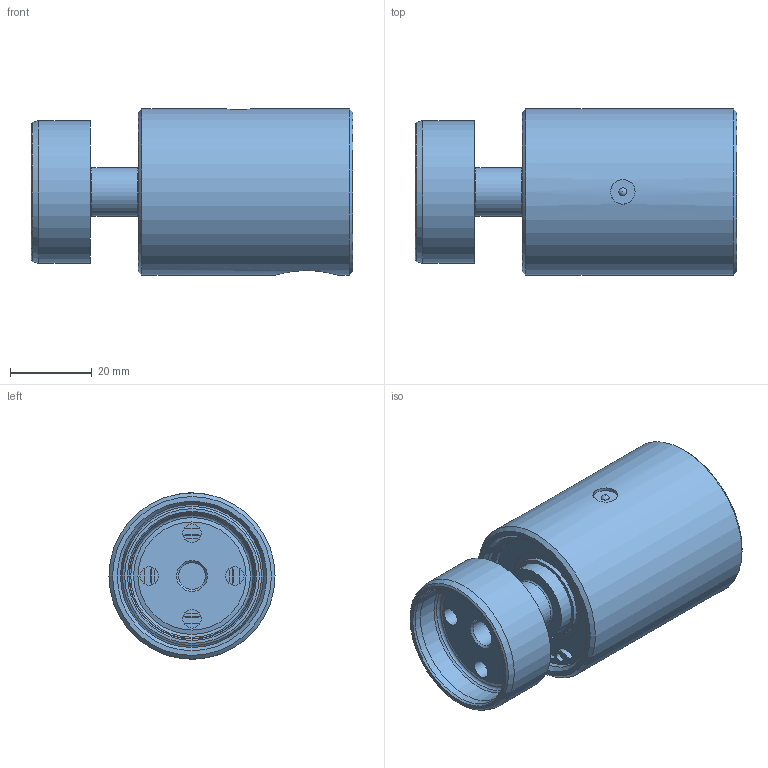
import math

import cadquery as cq

TOTAL_LENGTH = 78.84
BODY_RADIUS = 40.71 / 2

CAP_RADIUS = 35.0 / 2
CAP_LENGTH = 14.5
CAP_TAPER_LENGTH = 1.9
CAP_NOSE_RADIUS = 17.05
CAP_RIM_BEVEL = 0.3
CAP_RIM_RADIUS = 16.5
CAP_MOUTH_RADIUS = 15.8
CAP_MOUTH_DEPTH = 0.5
CAP_LEAD_RADIUS = 15.45
CAP_LEAD_DEPTH = 2.2
CAP_BORE_RADIUS = 30.7 / 2
CAP_BORE_DEPTH = 6.9
CAP_SEAT_RADIUS = 30.01 / 2
CAP_FLOOR_DEPTH = 7.85
CAP_FLOOR_RADIUS = 13.25
CAP_GROOVE_DEPTH = 8.15
CAP_GROOVE_FILLET = 0.7
CAP_GROOVE_INNER_RADIUS = CAP_SEAT_RADIUS - CAP_GROOVE_FILLET

CENTRE_HOLE_RADIUS = 6.55 / 2
CENTRE_HOLE_MOUTH_RADIUS = 3.8
CENTRE_HOLE_DEPTH = 14.0
BOLT_HOLE_RADIUS = 4.5 / 2
BOLT_CIRCLE_RADIUS = 10.5
BOLT_HOLE_COUNT = 4

SHAFT_RADIUS = 12.0 / 2
SHAFT_FILLET = 0.4
HUB_RADIUS = 18.4 / 2
HUB_START = 26.5
COLLAR_RADIUS = 10.2
COLLAR_TOP_RADIUS = 10.0
COLLAR_START = 30.0
FLOOR_STEP_RADIUS = 23.38 / 2
FLOOR_STEP = 0.2

BODY_START = 26.25
BODY_CHAMFER = 0.9
BODY_MOUTH_RADIUS = 18.3
BODY_MOUTH_DEPTH = 1.0
BODY_BORE_RADIUS = 35.05 / 2
BODY_FLOOR = 30.6

RING_START = 28.6
RING_THICKNESS = 1.2
RING_INNER_RADIUS = 16.2
LUG_RADIUS = 5.75 / 2
LUG_PITCH_RADIUS = 16.6
LUG_ANGLE = -27.0
LUG_HOLE_RADIUS = 2.31 / 2
LUG_HOLE_PITCH_RADIUS = 15.5
LUG_HOLE_ANGLE = -25.0

PLUG_X = 50.9
PLUG_RADIUS = 6.0 / 2
PLUG_DEPTH = 0.9
DOME_RADIUS = 1.0
DOME_HEIGHT = 0.6

PORT_X = 67.5
PORT_RADIUS = 10.72 / 2
PORT_MOUTH_RADIUS = 7.6
PORT_DEPTH = 12.0


def revolve_x(profile):
    """Turn a closed (x, radius) outline about the X axis."""
    return profile.close().revolve(360, (0, 0, 0), (1, 0, 0))


def disc(start, length, radius, y=0.0, z=0.0):
    """Cylinder along X."""
    return cq.Workplane("YZ", origin=(start, y, z)).circle(radius).extrude(length)


def countersink(mouth_radius, hole_radius, start, direction):
    """Cone at 45 degrees that narrows from the mouth to the hole."""
    depth = mouth_radius - hole_radius
    cone = cq.Solid.makeCone(mouth_radius, hole_radius, depth, cq.Vector(*start), cq.Vector(*direction))
    return cq.Workplane(cone)


def make_cap():
    """Cap with a stepped bore, a rounded groove around its floor and a tapered nose."""
    outline = (
        cq.Workplane("XY")
        .moveTo(CAP_FLOOR_DEPTH, 0)
        .lineTo(CAP_FLOOR_DEPTH, CAP_FLOOR_RADIUS)
        .lineTo(CAP_GROOVE_DEPTH, CAP_GROOVE_INNER_RADIUS)
        .radiusArc((CAP_GROOVE_DEPTH - CAP_GROOVE_FILLET, CAP_SEAT_RADIUS), -CAP_GROOVE_FILLET)
        .lineTo(CAP_BORE_DEPTH, CAP_BORE_RADIUS)
        .lineTo(CAP_LEAD_DEPTH, CAP_BORE_RADIUS)
        .lineTo(CAP_MOUTH_DEPTH, CAP_LEAD_RADIUS)
        .lineTo(0, CAP_MOUTH_RADIUS)
        .lineTo(0, CAP_RIM_RADIUS)
        .lineTo(CAP_RIM_BEVEL, CAP_NOSE_RADIUS)
        .lineTo(CAP_TAPER_LENGTH, CAP_RADIUS)
        .lineTo(CAP_LENGTH, CAP_RADIUS)
        .lineTo(CAP_LENGTH, 0)
    )
    return revolve_x(outline)


def make_shaft():
    """Shaft with filleted ends, the hub behind it and the collar on the body floor."""
    outline = (
        cq.Workplane("XY")
        .moveTo(CAP_LENGTH, 0)
        .lineTo(CAP_LENGTH, SHAFT_RADIUS + SHAFT_FILLET)
        .radiusArc((CAP_LENGTH + SHAFT_FILLET, SHAFT_RADIUS), -SHAFT_FILLET)
        .lineTo(HUB_START - SHAFT_FILLET, SHAFT_RADIUS)
        .radiusArc((HUB_START, SHAFT_RADIUS + SHAFT_FILLET), -SHAFT_FILLET)
        .lineTo(HUB_START, HUB_RADIUS)
        .lineTo(COLLAR_START, HUB_RADIUS)
        .lineTo(COLLAR_START, COLLAR_TOP_RADIUS)
        .lineTo(BODY_FLOOR + FLOOR_STEP, COLLAR_RADIUS)
        .lineTo(BODY_FLOOR + FLOOR_STEP, 0)
    )
    return revolve_x(outline)


def make_body():
    """Chamfered barrel with an open front bore; the bore floor has a shallow step."""
    outline = (
        cq.Workplane("XY")
        .moveTo(BODY_FLOOR + FLOOR_STEP, 0)
        .lineTo(BODY_FLOOR + FLOOR_STEP, FLOOR_STEP_RADIUS)
        .lineTo(BODY_FLOOR, FLOOR_STEP_RADIUS)
        .lineTo(BODY_FLOOR, BODY_BORE_RADIUS)
        .lineTo(BODY_START + BODY_MOUTH_DEPTH, BODY_BORE_RADIUS)
        .lineTo(BODY_START, BODY_MOUTH_RADIUS)
        .lineTo(BODY_START, BODY_RADIUS - BODY_CHAMFER)
        .lineTo(BODY_START + BODY_CHAMFER, BODY_RADIUS)
        .lineTo(TOTAL_LENGTH - BODY_CHAMFER, BODY_RADIUS)
        .lineTo(TOTAL_LENGTH, BODY_RADIUS - BODY_CHAMFER)
        .lineTo(TOTAL_LENGTH, 0)
    )
    return revolve_x(outline)


def ring_disc(radius, pitch_radius=0.0, angle=0.0):
    """Disc as thick as the retaining ring, its angle counted from the -Z direction."""
    y = pitch_radius * math.sin(math.radians(angle))
    z = -pitch_radius * math.cos(math.radians(angle))
    return disc(RING_START, RING_THICKNESS, radius, y, z)


def make_ring():
    """Retaining ring with one drilled eyelet."""
    band = ring_disc(BODY_BORE_RADIUS).cut(ring_disc(RING_INNER_RADIUS))
    eyelet = ring_disc(LUG_RADIUS, LUG_PITCH_RADIUS, LUG_ANGLE)
    hole = ring_disc(LUG_HOLE_RADIUS, LUG_HOLE_PITCH_RADIUS, LUG_HOLE_ANGLE)
    return band.union(eyelet).cut(hole)


def cut_cap_holes(part):
    """Blind countersunk centre hole and the bolt holes through the cap floor."""
    part = part.cut(disc(CAP_FLOOR_DEPTH, CENTRE_HOLE_DEPTH, CENTRE_HOLE_RADIUS))
    mouth = countersink(
        CENTRE_HOLE_MOUTH_RADIUS, CENTRE_HOLE_RADIUS, (CAP_FLOOR_DEPTH, 0, 0), (1, 0, 0)
    )
    part = part.cut(mouth)
    through_length = CAP_LENGTH - CAP_FLOOR_DEPTH
    for index in range(BOLT_HOLE_COUNT):
        angle = 2 * math.pi * index / BOLT_HOLE_COUNT
        y = BOLT_CIRCLE_RADIUS * math.cos(angle)
        z = BOLT_CIRCLE_RADIUS * math.sin(angle)
        part = part.cut(disc(CAP_FLOOR_DEPTH, through_length, BOLT_HOLE_RADIUS, y, z))
    return part


def cut_plug_pocket(part):
    """Flat round pocket on top of the body with a low dome at its centre."""
    floor = BODY_RADIUS - PLUG_DEPTH
    pocket = cq.Workplane("XY", origin=(PLUG_X, 0, floor)).circle(PLUG_RADIUS).extrude(PLUG_DEPTH)
    sphere_radius = (DOME_RADIUS**2 + DOME_HEIGHT**2) / (2 * DOME_HEIGHT)
    sphere_centre_z = floor + DOME_HEIGHT - sphere_radius
    dome = cq.Workplane("XY", origin=(PLUG_X, 0, sphere_centre_z)).sphere(sphere_radius)
    return part.cut(pocket).union(dome)


def cut_port(part):
    """Blind port from below with a countersunk mouth."""
    mouth = countersink(PORT_MOUTH_RADIUS, PORT_RADIUS, (PORT_X, 0, -BODY_RADIUS), (0, 0, 1))
    bore = cq.Workplane("XY", origin=(PORT_X, 0, -BODY_RADIUS)).circle(PORT_RADIUS).extrude(PORT_DEPTH)
    return part.cut(mouth).cut(bore)


result = make_body().union(make_shaft()).union(make_cap()).union(make_ring())
result = cut_cap_holes(result)
result = cut_plug_pocket(result)
result = cut_port(result)